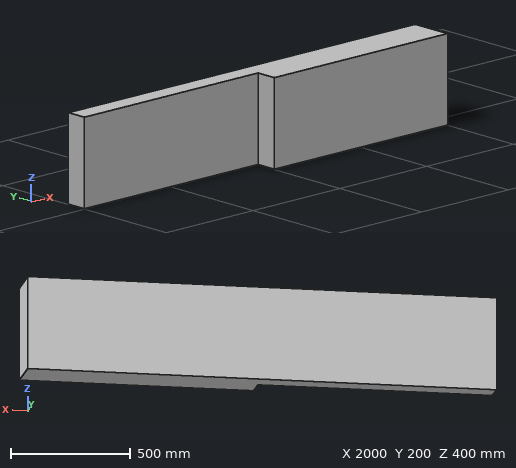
import cadquery as cq

length = 2000.0
depth = 200.0
height = 400.0

thin_length = length / 2
thin_depth = depth / 2

step_y = depth - thin_depth
footprint = [
    (0, step_y),
    (thin_length, step_y),
    (thin_length, 0),
    (length, 0),
    (length, depth),
    (0, depth),
]

result = cq.Workplane("XY").polyline(footprint).close().extrude(height)